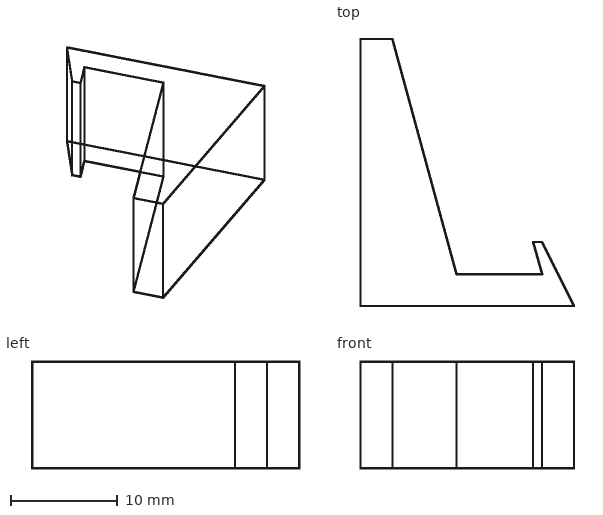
import cadquery as cq

length = 20.0
depth = 25.0
height = 10.0

wall_tip_width = 3.0
wall_root_width = 9.0

arm_thickness = 3.0
hook_top = 2 * arm_thickness
hook_root_x = 17.0
hook_tip_width = 0.85
hook_tip_outer_x = 17.0
hook_tip_inner_x = hook_tip_outer_x - hook_tip_width

profile = [
    (0, 0),
    (length, 0),
    (hook_tip_outer_x, hook_top),
    (hook_tip_inner_x, hook_top),
    (hook_root_x, arm_thickness),
    (wall_root_width, arm_thickness),
    (wall_tip_width, depth),
    (0, depth),
]

result = cq.Workplane("XY").polyline(profile).close().extrude(height)